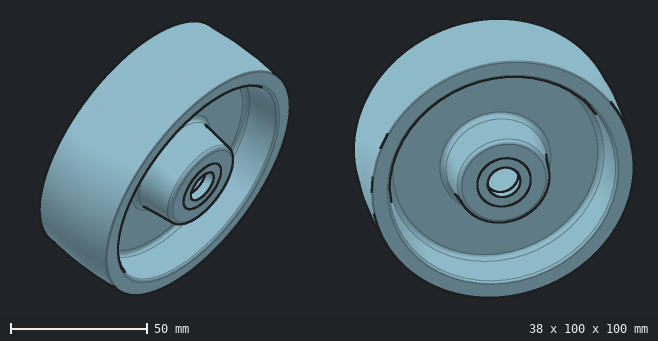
import cadquery as cq


tread_radius = 50.0
tread_edge_radius = 49.0
rim_half_width = 17.0
rim_mouth_radius = 42.4
rim_root_radius = 40.0

web_half_width = 3.0
hub_half_width = 19.0
hub_root_radius = 19.0
hub_face_radius = 17.1

tread_edge_fillet = 0.4
rim_mouth_fillet = 1.0
root_fillet = 2.0
hub_face_fillet = 1.5

bearing_radius = 10.0
axle_hole_radius = 6.1
bush_length = 4.0
bearing_half_length = hub_half_width - bush_length


def round_circles(body, circle_radius, fillet_radius):
    """Fillet every circular edge that has the given radius."""
    edges = [
        edge
        for edge in body.Edges()
        if edge.geomType() == "CIRCLE" and abs(edge.radius() - circle_radius) < 0.0001
    ]
    return body.fillet(fillet_radius, edges)


def make_wheel():
    """Crowned rim, web and hub, bored through for the bearing."""
    profile = (
        cq.Workplane("XY")
        .moveTo(-hub_half_width, bearing_radius)
        .lineTo(-hub_half_width, hub_face_radius)
        .lineTo(-web_half_width, hub_root_radius)
        .lineTo(-web_half_width, rim_root_radius)
        .lineTo(-rim_half_width, rim_mouth_radius)
        .lineTo(-rim_half_width, tread_edge_radius)
        .threePointArc((0, tread_radius), (rim_half_width, tread_edge_radius))
        .lineTo(rim_half_width, rim_mouth_radius)
        .lineTo(web_half_width, rim_root_radius)
        .lineTo(web_half_width, hub_root_radius)
        .lineTo(hub_half_width, hub_face_radius)
        .lineTo(hub_half_width, bearing_radius)
        .close()
    )
    body = profile.revolve(360, (0, 0, 0), (1, 0, 0)).val()
    body = round_circles(body, tread_edge_radius, tread_edge_fillet)
    body = round_circles(body, rim_mouth_radius, rim_mouth_fillet)
    body = round_circles(body, rim_root_radius, root_fillet)
    body = round_circles(body, hub_root_radius, root_fillet)
    return cq.Workplane(round_circles(body, hub_face_radius, hub_face_fillet)).solids()


def make_ring(start_x, length):
    """Ring that fills the wheel bore around the axle hole."""
    return (
        cq.Workplane("YZ", origin=(start_x, 0, 0))
        .circle(bearing_radius)
        .circle(axle_hole_radius)
        .extrude(length)
    )


def make_bearing():
    """Bearing sleeve in the middle of the hub."""
    return make_ring(-bearing_half_length, 2 * bearing_half_length)


def make_bush(start_x):
    """End bush, flush with the hub face."""
    return make_ring(start_x, bush_length)


wheel = make_wheel()
bearing = make_bearing()
bushes = [make_bush(start_x) for start_x in (-hub_half_width, bearing_half_length)]

result = cq.Compound.makeCompound(
    [wheel.val(), bearing.val(), *[bush.val() for bush in bushes]]
)